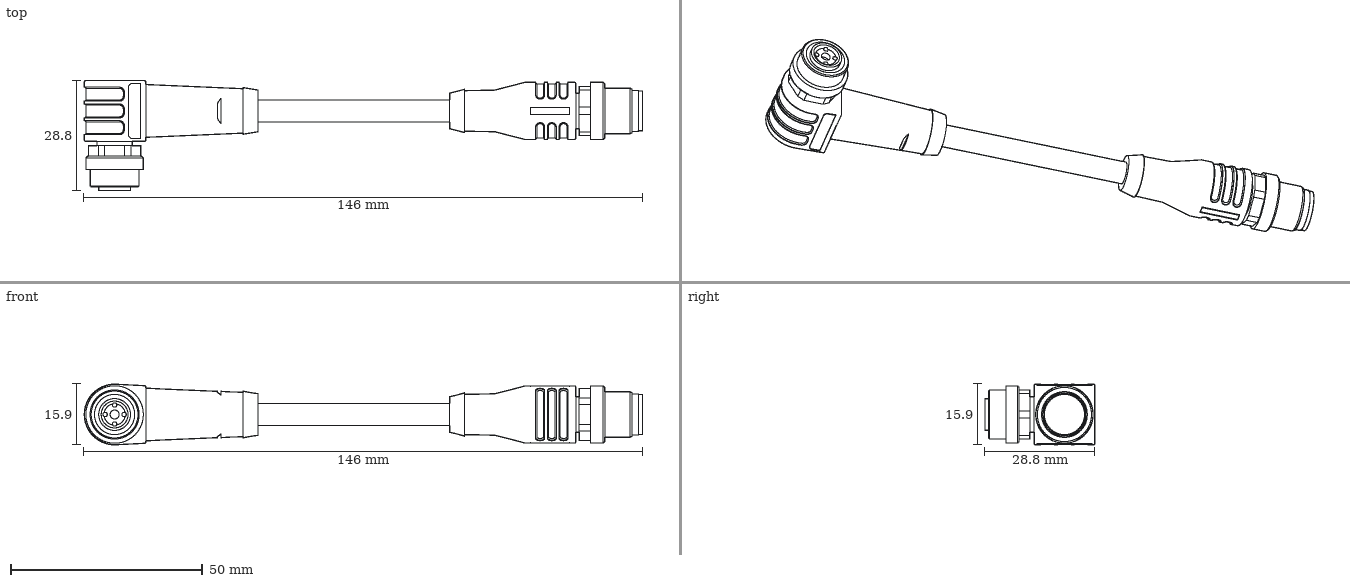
import cadquery as cq
import math


OVERALL_LENGTH = 146.0
OVERALL_WIDTH = 28.8
OVERALL_HEIGHT = 15.9

BODY_RADIUS = OVERALL_HEIGHT / 2
BODY_END_X = 8.2
BODY_HALF_WIDTH = BODY_RADIUS
BODY_TAPER = math.radians(3)
BODY_EDGE_FILLET = 0.5

GRIP_DEPTH = 0.5
GRIP_COUNT = 3
GRIP_PITCH = 4.4
GRIP_WIDTH = 3.6
GRIP_END_X = 2.55
GRIP_CORNER = 1.3
GRIP_WALL_CHAMFER = 0.3

PANEL_START_X = 3.6
PANEL_END_X = 6.7
PANEL_HALF_WIDTH = 7.2
PANEL_CORNER = 0.6
PANEL_DEPTH = 0.22

SLEEVE_START_DIAMETER = 13.9
SLEEVE_NECK_DIAMETER = 11.7
SLEEVE_COLLAR_DIAMETER = 12.3
SLEEVE_END_DIAMETER = 11.0
SLEEVE_COLLAR_X = 33.6
SLEEVE_END_X = 37.5
SLEEVE_NOTCH_X = 26.9
SLEEVE_NOTCH_LENGTH = 0.95
SLEEVE_NOTCH_SHALLOW_Z = 5.8
SLEEVE_NOTCH_DEEP_Z = 5.1
CABLE_DIAMETER = 5.8

NECK_DIAMETER = 9.3
HEX_ACROSS_FLATS = 12.8
HEX_ACROSS_CORNERS = 13.7
NUT_RING_DIAMETER = 15.0
NUT_RING_CHAMFER = 0.5

SOCKET_HEX_START = 9.0
SOCKET_RING_START = 11.8
SOCKET_RING_END = 15.3
SOCKET_SHELL_END = 19.9
SOCKET_INSERT_END = OVERALL_WIDTH - BODY_HALF_WIDTH
SOCKET_SHELL_DIAMETER = 12.8
SOCKET_SHELL_CHAMFER = 0.3
SOCKET_MOUTH_DIAMETER = 10.5
SOCKET_MOUTH_DEPTH = 0.5
INSERT_DIAMETER = 8.3
DISH_RIM_DIAMETER = 7.0
DISH_FLOOR_DIAMETER = 5.5
DISH_DEPTH = 0.6
CENTER_HOLE_DIAMETER = 2.3
CONTACT_HOLE_DIAMETER = 1.15
CONTACT_CIRCLE_RADIUS = 2.5
CONTACT_HOLE_DEPTH = 2.2
CONTACT_COUNT = 4

PLUG_START_X = 87.6
PLUG_COLLAR_X = 91.5
PLUG_WAIST_X = 99.4
PLUG_GRIP_START_X = 107.3
PLUG_GRIP_END_X = 120.5
PLUG_HEX_START_X = 121.5
PLUG_RING_START_X = 124.4
PLUG_RING_END_X = 128.2
PLUG_BARREL_END_X = 134.7
PLUG_NOSE_X = 135.3
PLUG_NOSE_STEP_X = 136.9
PLUG_END_X = OVERALL_LENGTH - BODY_RADIUS
PLUG_START_DIAMETER = 9.3
PLUG_COLLAR_DIAMETER = 11.4
PLUG_COLLAR_BACK_DIAMETER = 10.7
PLUG_WAIST_DIAMETER = 11.0
PLUG_GRIP_DIAMETER = 15.0
PLUG_GRIP_FILLET = 0.5
PLUG_BARREL_DIAMETER = 12.0
PLUG_BARREL_TIP_DIAMETER = 11.4
PLUG_NOSE_DIAMETER = 10.8
PLUG_TIP_DIAMETER = 10.5

PLUG_SLOT_COUNT = 3
PLUG_SLOT_CENTER_X = 114.3
PLUG_SLOT_PITCH = 3.0
PLUG_SLOT_WIDTH = 2.3
PLUG_SLOT_INNER_Y = 3.0
PLUG_SLOT_DEPTH = 0.5
PLUG_SLOT_CHAMFER = 0.3
STRIP_LENGTH = 10.2
STRIP_CENTER_X = 113.9
STRIP_WIDTH = 1.9
STRIP_DEPTH = 0.3
STRIP_FLOOR_Z = PLUG_GRIP_DIAMETER / 2 - STRIP_DEPTH


def turned(profile):
    """Solid of revolution about X through (x, diameter) pairs."""
    outline = [(x, diameter / 2) for x, diameter in profile]
    axis_start = (outline[0][0], 0)
    axis_end = (outline[-1][0], 0)
    return cq.Workplane("XY").polyline([axis_start] + outline + [axis_end]).close().revolve(
        360, axis_start, axis_end
    )


def rod(start_x, end_x, diameter):
    return turned([(start_x, diameter), (end_x, diameter)])


def hex_prism(start_x, end_x, across_flats, turn):
    """Hexagonal prism along X; without a turn its corners lie on the Y axis."""
    corner_to_corner = across_flats / math.cos(math.pi / 6)
    return (
        cq.Workplane("YZ", origin=(start_x, 0, 0))
        .transformed(rotate=(0, 0, turn))
        .polygon(6, corner_to_corner)
        .extrude(end_x - start_x)
    )


def hex_nut(start_x, end_x, turn):
    """Hexagon whose six corners are cut off flat."""
    flats = hex_prism(start_x, end_x, HEX_ACROSS_FLATS, turn)
    corner_cuts = hex_prism(start_x, end_x, HEX_ACROSS_CORNERS, turn + 30)
    return flats.intersect(corner_cuts)


def inside_cube(half_size, center_x=0.0):
    """Selector for edges centred in a cube on the X axis; it finds the floor edges of grip cutters."""
    return cq.selectors.BoxSelector(
        (center_x - half_size, -half_size, -half_size),
        (center_x + half_size, half_size, half_size),
    )


def body_blank(inset=0.0):
    """Half-round body with slightly tapering flats, its skin moved inwards by the inset."""
    radius = BODY_RADIUS - inset
    tangent_x = radius * math.sin(BODY_TAPER)
    tangent_z = radius * math.cos(BODY_TAPER)
    end_z = tangent_z - (BODY_END_X - tangent_x) * math.tan(BODY_TAPER)
    return (
        cq.Workplane("XZ")
        .moveTo(BODY_END_X, -end_z)
        .lineTo(BODY_END_X, end_z)
        .lineTo(tangent_x, tangent_z)
        .threePointArc((-radius, 0), (tangent_x, -tangent_z))
        .close()
        .extrude(BODY_HALF_WIDTH, both=True)
    )


def grip_pockets():
    """Three finger grips that wrap around the round end of the body."""
    start_x = -2 * BODY_RADIUS
    length = GRIP_END_X - start_x
    middle = (GRIP_COUNT - 1) / 2
    centers = [(start_x + length / 2, (i - middle) * GRIP_PITCH) for i in range(GRIP_COUNT)]
    prisms = (
        cq.Workplane("XY")
        .pushPoints(centers)
        .rect(length, GRIP_WIDTH)
        .extrude(2 * BODY_RADIUS, both=True)
        .edges("|Z and >X")
        .fillet(GRIP_CORNER)
    )
    pockets = prisms.cut(body_blank(GRIP_DEPTH))
    return pockets.edges(inside_cube(BODY_RADIUS)).chamfer(GRIP_WALL_CHAMFER)


def label_panels():
    """Shallow panels with clipped corners on both flats of the body."""
    panel = (
        cq.Workplane("XY")
        .center((PANEL_START_X + PANEL_END_X) / 2, 0)
        .rect(PANEL_END_X - PANEL_START_X, 2 * PANEL_HALF_WIDTH)
        .extrude(2 * BODY_RADIUS, both=True)
        .edges("|Z and <X")
        .chamfer(PANEL_CORNER)
    )
    return panel.cut(body_blank(PANEL_DEPTH))


def elbow_body():
    blank = body_blank().edges().fillet(BODY_EDGE_FILLET)
    return blank.cut(grip_pockets()).cut(label_panels())


def sleeve():
    """Tapering sleeve with a collar, and sloping notches above and below."""
    solid = turned([
        (0, SLEEVE_START_DIAMETER),
        (BODY_END_X, SLEEVE_START_DIAMETER),
        (SLEEVE_COLLAR_X, SLEEVE_NECK_DIAMETER),
        (SLEEVE_COLLAR_X, SLEEVE_COLLAR_DIAMETER),
        (SLEEVE_END_X, SLEEVE_END_DIAMETER),
    ])
    notch_end_x = SLEEVE_NOTCH_X + SLEEVE_NOTCH_LENGTH
    notch = (
        cq.Workplane("XZ")
        .moveTo(SLEEVE_NOTCH_X, SLEEVE_NOTCH_SHALLOW_Z)
        .lineTo(notch_end_x, SLEEVE_NOTCH_DEEP_Z)
        .lineTo(notch_end_x, SLEEVE_START_DIAMETER)
        .lineTo(SLEEVE_NOTCH_X, SLEEVE_START_DIAMETER)
        .close()
        .extrude(SLEEVE_START_DIAMETER, both=True)
    )
    return solid.cut(notch).cut(notch.mirror("XY"))


def contact_holes():
    holes = (
        cq.Workplane("YZ", origin=(SOCKET_INSERT_END, 0, 0))
        .polarArray(CONTACT_CIRCLE_RADIUS, 0, 360, CONTACT_COUNT)
        .circle(CONTACT_HOLE_DIAMETER / 2)
        .extrude(-CONTACT_HOLE_DEPTH)
    )
    center_hole = rod(SOCKET_INSERT_END - CONTACT_HOLE_DEPTH, SOCKET_INSERT_END, CENTER_HOLE_DIAMETER)
    return holes.union(center_hole)


def socket():
    """Socket built along +X, then turned to point along -Y."""
    shell = turned([
        (SOCKET_RING_START, HEX_ACROSS_FLATS),
        (SOCKET_RING_START, NUT_RING_DIAMETER - 2 * NUT_RING_CHAMFER),
        (SOCKET_RING_START + NUT_RING_CHAMFER, NUT_RING_DIAMETER),
        (SOCKET_RING_END, NUT_RING_DIAMETER),
        (SOCKET_RING_END, SOCKET_SHELL_DIAMETER),
        (SOCKET_SHELL_END - SOCKET_SHELL_CHAMFER, SOCKET_SHELL_DIAMETER),
        (SOCKET_SHELL_END, SOCKET_SHELL_DIAMETER - 2 * SOCKET_SHELL_CHAMFER),
    ])
    mouth = turned([
        (SOCKET_SHELL_END - SOCKET_MOUTH_DEPTH, INSERT_DIAMETER),
        (SOCKET_SHELL_END, SOCKET_MOUTH_DIAMETER),
    ])
    insert = rod(SOCKET_RING_START, SOCKET_INSERT_END, INSERT_DIAMETER)
    dish = turned([
        (SOCKET_INSERT_END - DISH_DEPTH, DISH_FLOOR_DIAMETER),
        (SOCKET_INSERT_END, DISH_RIM_DIAMETER),
    ])
    solid = (
        rod(0, SOCKET_HEX_START, NECK_DIAMETER)
        .union(hex_nut(SOCKET_HEX_START, SOCKET_RING_START, turn=0))
        .union(shell)
        .cut(mouth)
        .union(insert)
        .cut(dish)
        .cut(contact_holes())
    )
    return solid.rotate((0, 0, 0), (0, 0, 1), -90)


def plug_slots():
    """Rounded finger slots that wrap around both sides of the plug grip."""
    middle = (PLUG_SLOT_COUNT - 1) / 2
    length = PLUG_GRIP_DIAMETER - PLUG_SLOT_INNER_Y
    centers = [
        (PLUG_SLOT_CENTER_X + (i - middle) * PLUG_SLOT_PITCH, side * (PLUG_SLOT_INNER_Y + length / 2))
        for i in range(PLUG_SLOT_COUNT)
        for side in (1, -1)
    ]
    prisms = (
        cq.Workplane("XY")
        .pushPoints(centers)
        .slot2D(length, PLUG_SLOT_WIDTH, 90)
        .extrude(PLUG_GRIP_DIAMETER, both=True)
    )
    core_diameter = PLUG_GRIP_DIAMETER - 2 * PLUG_SLOT_DEPTH
    slots = prisms.cut(rod(PLUG_GRIP_START_X, PLUG_GRIP_END_X, core_diameter))
    floor_edges = inside_cube(PLUG_GRIP_DIAMETER / 2, PLUG_SLOT_CENTER_X)
    return slots.edges(floor_edges).chamfer(PLUG_SLOT_CHAMFER)


def plug_grip():
    """Boot and grip of the plug, with finger slots and label strips."""
    grip = turned([
        (PLUG_START_X, PLUG_START_DIAMETER),
        (PLUG_COLLAR_X, PLUG_COLLAR_DIAMETER),
        (PLUG_COLLAR_X, PLUG_COLLAR_BACK_DIAMETER),
        (PLUG_WAIST_X, PLUG_WAIST_DIAMETER),
        (PLUG_GRIP_START_X, PLUG_GRIP_DIAMETER),
        (PLUG_GRIP_END_X, PLUG_GRIP_DIAMETER),
    ])
    grip = grip.faces(">X").edges().fillet(PLUG_GRIP_FILLET).cut(plug_slots())
    for side in (1, -1):
        strip = cq.Workplane("XY", origin=(STRIP_CENTER_X, 0, side * STRIP_FLOOR_Z)).rect(
            STRIP_LENGTH, STRIP_WIDTH
        ).extrude(side * PLUG_GRIP_DIAMETER)
        grip = grip.cut(strip)
    return grip


def plug_nut():
    """Coupling nut and stepped nose of the plug."""
    nose = turned([
        (PLUG_RING_START_X, NUT_RING_DIAMETER),
        (PLUG_RING_END_X - NUT_RING_CHAMFER, NUT_RING_DIAMETER),
        (PLUG_RING_END_X, NUT_RING_DIAMETER - 2 * NUT_RING_CHAMFER),
        (PLUG_RING_END_X, PLUG_BARREL_DIAMETER),
        (PLUG_BARREL_END_X, PLUG_BARREL_DIAMETER),
        (PLUG_NOSE_X, PLUG_BARREL_TIP_DIAMETER),
        (PLUG_NOSE_X, PLUG_NOSE_DIAMETER),
        (PLUG_NOSE_STEP_X, PLUG_NOSE_DIAMETER),
        (PLUG_NOSE_STEP_X, PLUG_TIP_DIAMETER),
        (PLUG_END_X, PLUG_TIP_DIAMETER),
    ])
    neck = rod(PLUG_GRIP_END_X, PLUG_HEX_START_X, NECK_DIAMETER)
    return neck.union(hex_nut(PLUG_HEX_START_X, PLUG_RING_START_X, turn=90)).union(nose)


cable = rod(SLEEVE_END_X, PLUG_START_X, CABLE_DIAMETER)
result = (
    elbow_body()
    .union(sleeve())
    .union(socket())
    .union(cable)
    .union(plug_grip())
    .union(plug_nut())
)